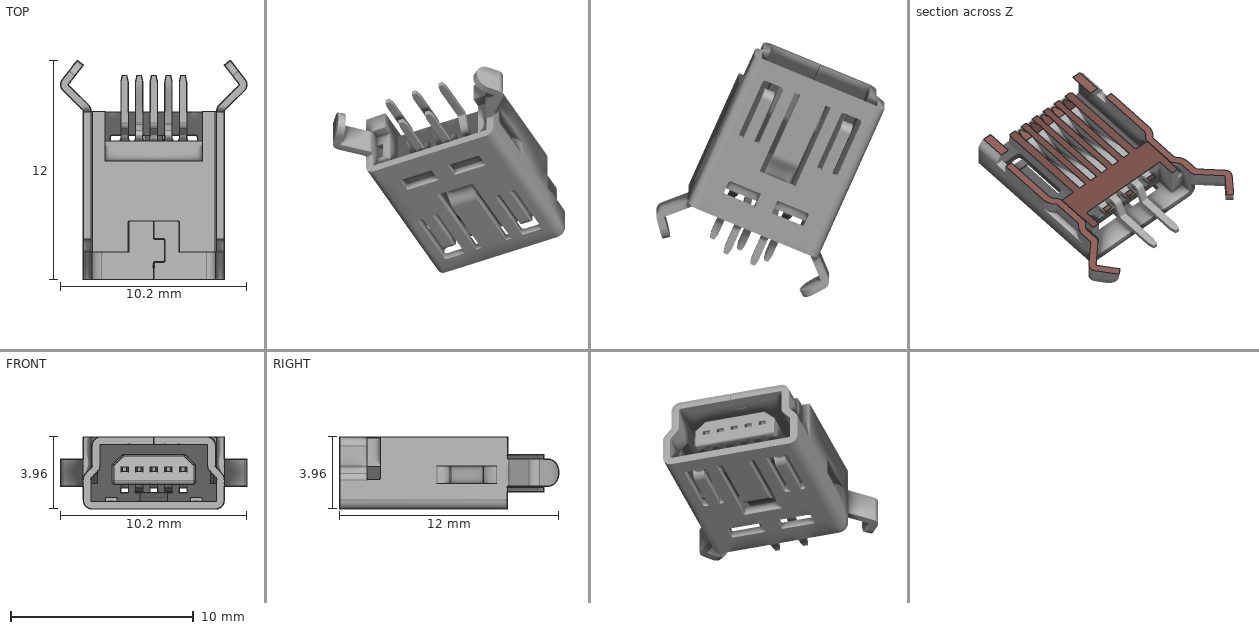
import cadquery as cq
import math


sheet = 0.42
half_width = 3.86
height = 3.96
inner_half = half_width - sheet
shell_rear = 9.18
outer_radius = 0.5
small_radius = 0.08

mouth_depth = 1.5
mouth_top_half = 3.37
mouth_inner_top_half = mouth_top_half - sheet
mouth_ceiling = height - sheet
shoulder_high = 2.34
shoulder_low = 1.8
inner_shoulder_high = 2.2
inner_shoulder_low = 1.68
shoulder_inner_radius = 0.3

flap_half = 1.37
flap_end = 3.2
flap_gap = 0.04
seam_jog = 0.6
seam_jog_start = 0.97
seam_jog_end = 2.22

relief_end = 2.23
relief_floor = 1.63

latch_front = 5.33
latch_rear = 8.59
latch_bottom = 1.41
latch_top = 2.36
latch_depth = 0.35
latch_outer_bend = 0.95
latch_inner_bend = 0.1
latch_angle = math.radians(48.6)

clip_bottom = 1.25
clip_top = 2.74
clip_root_bend = (half_width - sheet / 2, 9.34)
clip_elbow = (4.97, 10.645)
clip_tip = (4.02, 11.87)
clip_root_radius = 0.22
clip_elbow_radius = 0.24
clip_tip_radius = 0.74
clip_root_fillet = 0.05

floor_slot_front = 0.97
centre_tongue_half = 0.75
centre_slot_half = 1.07
centre_tongue_rise = 0.92
centre_tongue_end = 5.95
centre_tongue_slope = math.radians(35)
centre_tongue_flat = 0.5
ramp_foot_bend = 0.38
ramp_crest_bend = 1.28
side_slot_inner = 1.73
side_slot_outer = 2.94
side_slot_rear = 4.5
side_slot_corner = 0.16
side_tongue_inner = 2.02
side_tongue_outer = 2.63
side_tongue_front = 1.55
side_tongue_bend = 0.22
side_tongue_rise = 0.65
rear_slot_inner = 0.49
rear_slot_outer = 2.38
rear_slot_front = 7.0
rear_slot_end = 7.89
rear_slot_corner = 0.12
rear_bridge_drop = 0.1

block_front = 6.03
block_rear = 7.59
wing_rear = 9.21
wing_inner = 2.66
wing_step_y = 8.62
wing_step_z = 2.94
rear_ledge_front = 6.48
rear_ledge_z = 3.56
top_edge_chamfer = 0.08

blade_front = 0.65
blade_bottom = 1.36
blade_top = 2.99
blade_half = 2.28
blade_top_half = 1.69
blade_shoulder = 2.43
blade_edge = 0.09
blade_lip = 1.58
blade_lip_fillet = 0.12
blade_face_tilt = math.radians(5)

pin_pitch = 0.8
pin_count = 5
pin_thickness = 0.25
pin_width = 0.41
barb_width = 0.52
front_tip_width = 0.2
rear_tip_width = 0.25
tip_taper = 0.36
front_tip_y = 0.85
rear_tip_y = 11.18
front_level = 2.175
upper_tail_level = 2.865
lower_tail_level = 1.065
body_level = (upper_tail_level + lower_tail_level) / 2
bow_level = 1.25
bow_y = 2.9
bow_front = 1.4
bow_rear = 5.2
pin_bend_radius = 0.225
tail_bend_angle = math.radians(64)
tail_bend_y = 7.85
barb_front = 6.6
barb_taper_end = 7.72
channel_floor = 0.9

selection_margin = 0.01


def box(x_range, y_range, z_range):
    """Box between the given limits."""
    size = [limits[1] - limits[0] for limits in (x_range, y_range, z_range)]
    corner = (x_range[0], y_range[0], z_range[0])
    return cq.Workplane("XY").box(*size, centered=False).translate(corner)


def both_sides(body):
    """The body together with its mirror image across X = 0."""
    return body.union(body.mirror("YZ"))


def along_y(outline, start, end):
    """Extrude an XZ outline from one Y position to another."""
    return outline.extrude(start - end).translate((0, start, 0))


def fillet_level(body, level, radius):
    """Round the edges that run along Y at the given height."""
    reach = 2 * half_width
    layer = cq.selectors.BoxSelector(
        (-reach, -reach, level - selection_margin),
        (reach, reach, level + selection_margin),
    )
    return body.edges("|Y").edges(layer).fillet(radius)


def bent_strip(plane, path, radii, thickness):
    """Outline of a strip that follows a path of straight runs with a centreline radius at each bend."""
    directions = []
    for (x0, y0), (x1, y1) in zip(path, path[1:]):
        run = math.hypot(x1 - x0, y1 - y0)
        directions.append(((x1 - x0) / run, (y1 - y0) / run))
    half = thickness / 2

    def bend_points(index, side):
        corner = path[index + 1]
        (ux, uy), (vx, vy) = directions[index], directions[index + 1]
        turn = math.copysign(1, ux * vy - uy * vx)
        half_turn = math.acos(ux * vx + uy * vy) / 2
        setback = radii[index] * math.tan(half_turn)
        start = (corner[0] - ux * setback - uy * side, corner[1] - uy * setback + ux * side)
        end = (corner[0] + vx * setback - vy * side, corner[1] + vy * setback + vx * side)
        reach = turn * radii[index] - side
        centre = (start[0] - uy * reach, start[1] + ux * reach)
        scale = reach / (2 * math.cos(half_turn))
        middle = (centre[0] + (uy + vy) * scale, centre[1] - (ux + vx) * scale)
        return start, middle, end

    def end_point(point, direction, side):
        return (point[0] - direction[1] * side, point[1] + direction[0] * side)

    bends = range(len(radii))
    outline = cq.Workplane(plane).moveTo(*end_point(path[0], directions[0], half))
    for index in bends:
        start, middle, end = bend_points(index, half)
        outline = outline.lineTo(*start).threePointArc(middle, end)
    outline = outline.lineTo(*end_point(path[-1], directions[-1], half))
    outline = outline.lineTo(*end_point(path[-1], directions[-1], -half))
    for index in reversed(bends):
        start, middle, end = bend_points(index, -half)
        outline = outline.lineTo(*end).threePointArc(middle, start)
    return outline.lineTo(*end_point(path[0], directions[0], -half)).close()


def mouth():
    """Closed front ring with a narrower upper half."""
    outer_right = [(half_width, 0), (half_width, shoulder_low), (mouth_top_half, shoulder_high),
                   (mouth_top_half, height)]
    outer_left = [(-x, z) for x, z in reversed(outer_right)]
    outer = along_y(cq.Workplane("XZ").polyline(outer_right + outer_left).close(), 0, mouth_depth)
    for level in (0, shoulder_low, height):
        outer = fillet_level(outer, level, outer_radius)
    outer = fillet_level(outer, shoulder_high, small_radius)
    return outer.cut(mouth_opening(0, mouth_depth))


def mouth_opening(start, end):
    """Inner space of the mouth between two Y positions."""
    right = [(inner_half, sheet), (inner_half, inner_shoulder_low),
             (mouth_inner_top_half, inner_shoulder_high), (mouth_inner_top_half, mouth_ceiling)]
    left = [(-x, z) for x, z in reversed(right)]
    opening = along_y(cq.Workplane("XZ").polyline(right + left).close(), start, end)
    for level in (sheet, inner_shoulder_low, mouth_ceiling):
        opening = fillet_level(opening, level, small_radius)
    return fillet_level(opening, inner_shoulder_high, shoulder_inner_radius)


def flap(gap=0.0):
    """Folded-over top flap behind the mouth; the gap widens it into its recess."""
    half = flap_half + gap
    plate = box((-half, half), (mouth_depth, flap_end), (mouth_ceiling, height))
    return plate.edges("|Z and >Y").fillet(small_radius)


def seam():
    """Dovetail slit where the two ends of the bent sheet meet on top."""
    path = [(0, -sheet), (0, seam_jog_start), (seam_jog, seam_jog_start),
            (seam_jog, seam_jog_end), (0, seam_jog_end), (0, flap_end)]
    slit = bent_strip("XY", path, [small_radius] * (len(path) - 2), flap_gap)
    return slit.extrude(sheet).translate((0, 0, mouth_ceiling))


def trough():
    """Floor and side walls behind the mouth."""
    body = box((-half_width, half_width), (mouth_depth, shell_rear), (0, height))
    body = body.edges("|Y and <Z").fillet(outer_radius)
    inside = box((-inner_half, inner_half), (mouth_depth, shell_rear), (sheet, height))
    body = body.cut(inside.edges("|Y and <Z").fillet(small_radius))
    relief = box((-half_width, half_width), (mouth_depth, relief_end), (relief_floor, height))
    return body.cut(relief.edges("|X and <Z").fillet(small_radius))


def latch_recess():
    """Strip of the right side wall pressed inward, joined to the wall at both ends."""
    mid_x = half_width - sheet / 2
    front_radius = latch_outer_bend - sheet / 2
    flat_radius = latch_inner_bend + sheet / 2
    half_tan = math.tan(latch_angle / 2)
    front_corner = front_radius * half_tan
    flat_corner = front_corner + latch_depth / math.tan(latch_angle)
    path = [
        (mid_x, latch_front - small_radius),
        (mid_x, latch_front + front_corner),
        (mid_x - latch_depth, latch_front + flat_corner),
        (mid_x - latch_depth, latch_rear - flat_corner),
        (mid_x, latch_rear - front_corner),
        (mid_x, latch_rear + small_radius),
    ]
    radii = [front_radius, flat_radius, flat_radius, front_radius]
    strip = bent_strip("XY", path, radii, sheet).extrude(latch_top - latch_bottom)
    return strip.translate((0, 0, latch_bottom))


def latch_window():
    """Opening in the right side wall that the pressed-in strip came from."""
    return box((inner_half, half_width), (latch_front, latch_rear), (latch_bottom, latch_top))


def board_clip():
    """Elbowed spring leg behind the right side wall, with a rounded end."""
    path = [(clip_root_bend[0], shell_rear), clip_root_bend, clip_elbow, clip_tip]
    leg = bent_strip("XY", path, [clip_root_radius, clip_elbow_radius], sheet)
    leg = leg.extrude(clip_top - clip_bottom).translate((0, 0, clip_bottom))
    across = cq.Vector(clip_tip[1] - clip_elbow[1], clip_elbow[0] - clip_tip[0], 0)
    return leg.edges(cq.selectors.ParallelDirSelector(across)).fillet(clip_tip_radius)


def floor_slots():
    """Openings around the spring tongues, and a rear slot crossed by a slightly lowered bridge."""
    centre = box((-centre_slot_half, centre_slot_half), (floor_slot_front, centre_tongue_end), (0, sheet))
    side = box((side_slot_inner, side_slot_outer), (floor_slot_front, side_slot_rear), (0, sheet))
    side = side.edges("|Z").fillet(side_slot_corner)
    rear = box((rear_slot_inner, rear_slot_outer), (rear_slot_front, rear_slot_end), (0, sheet))
    bridge_sides = (-rear_slot_inner, rear_slot_inner)
    bridge_top = box(bridge_sides, (rear_slot_front, rear_slot_end), (sheet - rear_bridge_drop, sheet))
    rear = rear.edges("|Z and >X").fillet(rear_slot_corner)
    return both_sides(side.union(rear)).union(centre).union(bridge_top)


def centre_tongue():
    """Spring tongue that ramps up rearward from the front edge of the centre slot and levels off."""
    lift = centre_tongue_rise - sheet
    ramp_end = centre_tongue_end - centre_tongue_flat
    path = [
        (floor_slot_front - small_radius, sheet / 2),
        (ramp_end - lift / math.tan(centre_tongue_slope), sheet / 2),
        (ramp_end, sheet / 2 + lift),
        (centre_tongue_end, sheet / 2 + lift),
    ]
    strip = bent_strip("YZ", path, [ramp_foot_bend, ramp_crest_bend], sheet)
    return strip.extrude(centre_tongue_half, both=True)


def side_tongue():
    """Tongue that runs forward from the rear edge of the right slot and turns up at its end."""
    path = [
        (side_slot_rear + small_radius, sheet / 2),
        (side_tongue_front + sheet / 2, sheet / 2),
        (side_tongue_front + sheet / 2, side_tongue_rise),
    ]
    strip = bent_strip("YZ", path, [side_tongue_bend], sheet)
    return strip.extrude(side_tongue_outer - side_tongue_inner).translate((side_tongue_inner, 0, 0))


def make_shell():
    shell = trough().cut(both_sides(latch_window()))
    shell = shell.union(mouth()).union(flap()).cut(seam()).cut(floor_slots())
    shell = shell.union(both_sides(latch_recess())).union(both_sides(board_clip()))
    shell = shell.union(both_sides(side_tongue())).union(centre_tongue())
    clip_root = cq.selectors.BoxSelector(
        (-2 * half_width, shell_rear - selection_margin, clip_bottom - selection_margin),
        (2 * half_width, shell_rear + selection_margin, clip_top + selection_margin),
    )
    return shell.edges("|X").edges(clip_root).fillet(clip_root_fillet)


def make_pin(x, tail_level):
    """Contact pin: tip in the blade, bow below it, body in the block, cranked tail behind."""
    bend_rise = abs(tail_level - body_level)
    crank_start = tail_bend_y + pin_bend_radius * math.tan(tail_bend_angle / 2)
    crank_end = crank_start + bend_rise / math.tan(tail_bend_angle)
    path = [
        (front_tip_y, front_level),
        (bow_front, front_level),
        (bow_y, bow_level),
        (bow_rear, body_level),
        (crank_start, body_level),
        (crank_end, tail_level),
        (rear_tip_y, tail_level),
    ]
    profile = bent_strip("YZ", path, [pin_bend_radius] * (len(path) - 2), pin_thickness)
    plan_right = [
        (front_tip_width / 2, front_tip_y),
        (pin_width / 2, front_tip_y + tip_taper),
        (pin_width / 2, barb_front),
        (barb_width / 2, barb_front),
        (barb_width / 2, block_rear),
        (pin_width / 2, barb_taper_end),
        (pin_width / 2, rear_tip_y - tip_taper),
        (rear_tip_width / 2, rear_tip_y),
    ]
    plan_left = [(-side, y) for side, y in reversed(plan_right)]
    plan = cq.Workplane("XY").polyline(plan_right + plan_left).close().extrude(height)
    return profile.extrude(barb_width / 2, both=True).intersect(plan).translate((x, 0, 0))


pin_positions = [(index - (pin_count - 1) / 2) * pin_pitch for index in range(pin_count)]
pins = []
for index, pin_x in enumerate(pin_positions):
    level = upper_tail_level if index % 2 == 0 else lower_tail_level
    pins.append(make_pin(pin_x, level))


def hood():
    """Top and upper side walls that continue the mouth, the rear block and its two wings."""
    body = box((-inner_half, inner_half), (mouth_depth, wing_rear), (sheet, height))
    body = body.edges("|Y and >Z").chamfer(top_edge_chamfer).edges("|Y and <Z").fillet(small_radius)
    body = body.cut(mouth_opening(mouth_depth, block_front))
    body = body.cut(box((-inner_half, inner_half), (mouth_depth, block_front), (sheet, shoulder_high)))
    wing_gap = (-wing_inner, wing_inner)
    body = body.cut(box(wing_gap, (block_rear, wing_rear), (sheet, height)))
    body = body.cut(box(wing_gap, (rear_ledge_front, block_rear), (rear_ledge_z, height)))
    step = box((-inner_half, inner_half), (wing_step_y, wing_rear), (sheet, wing_step_z))
    body = body.cut(step)
    pocket_sides = (inner_half - latch_depth, inner_half)
    pocket = box(pocket_sides, (latch_front, wing_step_y), (latch_bottom, latch_top))
    return body.cut(both_sides(pocket)).cut(flap(flap_gap))


def blade():
    """Contact-carrying blade that stands forward from the rear block."""
    right = [(blade_half, blade_bottom), (blade_half, blade_shoulder), (blade_top_half, blade_top)]
    left = [(-x, z) for x, z in reversed(right)]
    body = along_y(cq.Workplane("XZ").polyline(right + left).close(), blade_front, block_front)
    lean = (blade_top - blade_lip) * math.tan(blade_face_tilt)
    wedge = cq.Workplane("YZ").polyline([
        (blade_front, blade_lip),
        (blade_front + lean, blade_top),
        (blade_front, blade_top),
    ]).close().extrude(blade_half, both=True)
    body = body.cut(wedge).edges("<Y and <Z").fillet(blade_lip_fillet)
    tilted_face = cq.Vector(0, -math.cos(blade_face_tilt), math.sin(blade_face_tilt))
    face = body.faces(cq.selectors.DirectionMinMaxSelector(tilted_face))
    return face.edges("not <Z").chamfer(blade_edge)


def pin_channel(x):
    """Slot for one pin: a tip window, an open-bottomed groove in the blade and a path through the block."""
    sides = (x - pin_width / 2, x + pin_width / 2)
    groove_top = front_level + pin_thickness / 2
    window = box(sides, (blade_front, front_tip_y), (front_level - pin_thickness / 2, groove_top))
    groove = box(sides, (front_tip_y, block_front), (blade_bottom, groove_top))
    passage = box(sides, (block_front, block_rear), (channel_floor, body_level + pin_thickness / 2))
    return window.union(groove).union(passage)


def make_housing():
    housing = hood().union(blade())
    for x, pin in zip(pin_positions, pins):
        housing = housing.cut(pin_channel(x)).cut(pin)
    return housing


shell = make_shell()
housing = make_housing()

result = cq.Compound.makeCompound([shell.val(), housing.val(), *[pin.val() for pin in pins]])